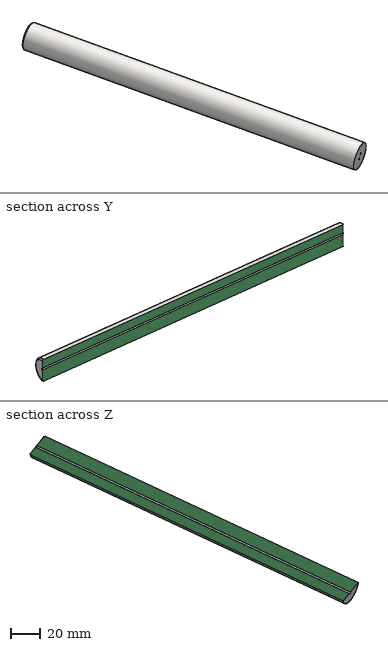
import cadquery as cq

bar_length = 250.0
bar_diameter = 20.0
end_chamfer = 1.0

bore_diameter = 1.2
bore_offset_y = 1.15
bore_offset_z = 1.6
bore_depth = bar_length

chamfered_end_x = -bar_length / 2


def end_plane():
    """Workplane on the -X end face, with its normal along +X into the bar."""
    return cq.Workplane("YZ", origin=(chamfered_end_x, 0, 0))


def make_bar():
    """Round bar along X, chamfered at the -X end only."""
    bar = end_plane().circle(bar_diameter / 2).extrude(bar_length)
    return bar.faces("<X").chamfer(end_chamfer)


def make_bores():
    """Two diametrically opposed bores parallel to the bar axis."""
    bore_centres = [(side * bore_offset_y, side * bore_offset_z) for side in (1, -1)]
    return end_plane().pushPoints(bore_centres).circle(bore_diameter / 2).extrude(bore_depth)


result = make_bar().cut(make_bores())